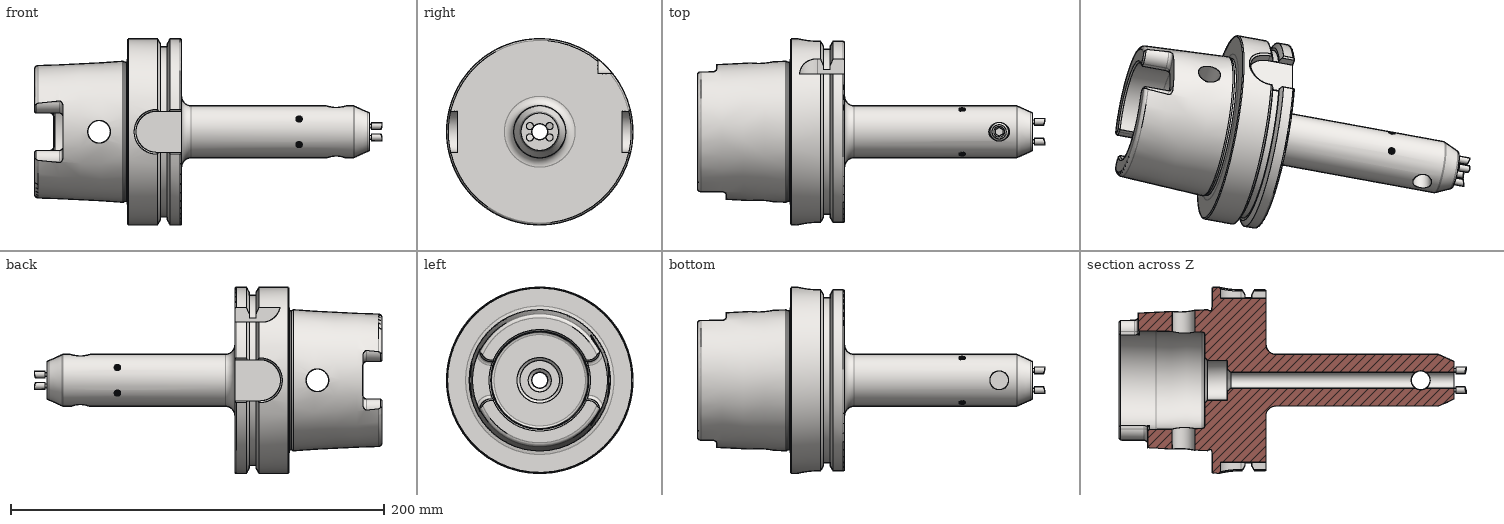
import cadquery as cq
import math


flange_start = 50.0
shank_taper = 0.05
relief_start = 47.5
shank_end_radius = 37.9
shank_mouth_radius = shank_end_radius - shank_taper * relief_start
mouth_rounding = 2.0
relief_radius = 37.4
relief_flat_start = 48.5
relief_flat_end = 49.5
relief_corner_radius = 39.8

bore_radius = 26.3
bore_lip_length = 20.0
cavity_floor_radius = 25.8
cavity_depth = 46.0
cavity_corner_radius = 1.3
mouth_chamfer = 0.9
socket_radius = 12.2
socket_chamfer = 1.6
socket_depth = 12.0
coolant_lead_radius = 6.2
coolant_radius = 4.2
cross_hole_x = 34.7
cross_hole_radius = 6.0

keyway_half_width = 10.0
keyway_flat_y = 32.2
keyway_rounding = 6.0
keyway_floor_fillet = 2.0
keyway_depths = {-1: 15.4, 1: 10.3}

flange_radius = 50.0
flange_width = 29.0
flange_end = flange_start + flange_width
flange_front_chamfer = 0.6
flange_back_rounding = 1.0
groove_center_x = 69.4
groove_floor_radius = 45.7
groove_wall_radius = 47.1
groove_half_width = 1.75
groove_flank_angle = 30.0

slot_start = 54.5
slot_half_width = 11.0
slot_floor_y = 44.0
slot_chamfer = 1.0
notch_cutter_radius = 10.0
notch_corner = slot_floor_y * math.cos(math.radians(45))

neck_radius = 14.0
neck_fillet = 5.0
nose_cone_start = 171.0
nose_edge_end = 171.5
nose_edge_radius = 13.85
nose_cone_end = 178.7
nose_cone_radius = 10.6
nose_end = 179.7
nose_end_radius = 10.0

clamp_x = 161.8
clamp_radius = 5.0
clamp_hole_mouth_radius = 5.6
clamp_top = 12.6
clamp_bottom = 5.0
clamp_chamfer = 1.2
clamp_hex = 4.0
clamp_hex_sink_radius = 2.9

plug_x = 141.9
plug_radius = 1.75
plug_length = 4.0
plug_recess = 0.3
plug_chamfer = 0.4
plug_hex = 1.5
plug_hex_sink_radius = 1.0

nozzle_end = 186.44
nozzle_head_start = 180.7
nozzle_head_radius = 1.9
nozzle_stem_radius = 1.1
nozzle_stem_depth = 8.0
nozzle_circle_radius = 6.1
nozzle_end_slope = 15.0

radial_angles = [30, 150, 210, 330]


def cylinder_x(radius, start, end, y=0.0, z=0.0):
    """Cylinder along X between two stations."""
    return cq.Workplane("YZ", origin=(start, 0, 0)).center(y, z).circle(radius).extrude(end - start)


def revolved(profile):
    """Turn an (x, r) profile about the X axis."""
    return profile.close().revolve(360, (0, 0, 0), (1, 0, 0))


def turned_blank():
    half = math.sqrt(0.5)
    rounding_center = shank_mouth_radius - mouth_rounding
    fillet_center = neck_radius + neck_fillet
    return revolved(
        cq.Workplane("XY")
        .moveTo(0, 0)
        .lineTo(0, rounding_center)
        .threePointArc(
            (mouth_rounding * (1 - half), rounding_center + mouth_rounding * half),
            (mouth_rounding, shank_mouth_radius + shank_taper * mouth_rounding),
        )
        .lineTo(relief_start, shank_end_radius)
        .lineTo(relief_flat_start, relief_radius)
        .lineTo(relief_flat_end, relief_radius)
        .lineTo(flange_start, relief_corner_radius)
        .lineTo(flange_start, flange_radius - flange_front_chamfer)
        .lineTo(flange_start + flange_front_chamfer, flange_radius)
        .lineTo(flange_end, flange_radius)
        .lineTo(flange_end, fillet_center)
        .threePointArc(
            (flange_end + neck_fillet * (1 - half), fillet_center - neck_fillet * half),
            (flange_end + neck_fillet, neck_radius),
        )
        .lineTo(nose_cone_start, neck_radius)
        .lineTo(nose_edge_end, nose_edge_radius)
        .lineTo(nose_cone_end, nose_cone_radius)
        .lineTo(nose_end, nose_end_radius)
        .lineTo(nose_end, 0)
    )


def rim_slot(cutter_radius, center_z, floor_y):
    """Round-ended slot on the +Y side, open toward the neck."""
    length = flange_end - slot_start
    reach = flange_radius
    end_x = slot_start + cutter_radius
    plane = cq.Workplane("XZ", origin=(0, floor_y, 0))
    round_end = plane.center(end_x, center_z).circle(cutter_radius).extrude(-reach)
    straight = (
        plane.center(end_x, center_z - cutter_radius)
        .rect(length, 2 * cutter_radius, centered=False)
        .extrude(-reach)
    )
    beyond = cq.Workplane("XY").box(length, 4 * reach, 4 * reach).translate((flange_end + length / 2, 0, 0))
    return round_end.union(straight).cut(beyond)


def keyway_outline(growth):
    """Key slot on the +Y side, widened by rounded shoulders to a flat; growth moves every wall outward."""
    half_width = keyway_half_width + growth
    rounding = keyway_rounding - growth
    flat_y = keyway_flat_y - growth
    arc_start_y = flat_y - rounding
    shoulder_z = half_width + rounding
    mid_y = arc_start_y + rounding * math.sqrt(0.5)
    mid_z = shoulder_z - rounding * math.sqrt(0.5)
    outer = flange_radius
    return (
        cq.Workplane("YZ")
        .moveTo(0, half_width)
        .lineTo(arc_start_y, half_width)
        .threePointArc((mid_y, mid_z), (flat_y, shoulder_z))
        .lineTo(flat_y, outer)
        .lineTo(outer, outer)
        .lineTo(outer, -outer)
        .lineTo(flat_y, -outer)
        .lineTo(flat_y, -shoulder_z)
        .threePointArc((mid_y, -mid_z), (arc_start_y, -half_width))
        .lineTo(0, -half_width)
        .close()
    )


def keyway_cutter(depth):
    slot = keyway_outline(0).extrude(depth)
    floor_edges = slot.faces(">X").edges("not (<Y or >Y or <Z or >Z)")
    mouth_bevel = keyway_outline(mouth_chamfer).extrude(mouth_chamfer, taper=45)
    return floor_edges.fillet(keyway_floor_fillet).union(mouth_bevel)


def keyway_lip_chamfer(side, depth):
    """Bevel of the bore edge where it meets a keyway floor."""
    cone = cq.Workplane("XY").add(
        cq.Solid.makeCone(
            bore_radius + mouth_chamfer,
            bore_radius,
            mouth_chamfer,
            pnt=cq.Vector(depth, 0, 0),
            dir=cq.Vector(1, 0, 0),
        )
    )
    span = cq.Workplane("XY").box(4 * flange_start, flange_radius, 2 * keyway_half_width)
    return cone.intersect(span.translate((0, side * flange_radius / 2, 0)))


def grip_groove():
    flank = (flange_radius - groove_wall_radius) * math.tan(math.radians(groove_flank_angle))
    half_mouth = groove_half_width + flank
    return revolved(
        cq.Workplane("XY")
        .moveTo(groove_center_x - groove_half_width, groove_floor_radius)
        .lineTo(groove_center_x - groove_half_width, groove_wall_radius)
        .lineTo(groove_center_x - half_mouth, flange_radius)
        .lineTo(groove_center_x - half_mouth, flange_radius + 1)
        .lineTo(groove_center_x + half_mouth, flange_radius + 1)
        .lineTo(groove_center_x + half_mouth, flange_radius)
        .lineTo(groove_center_x + groove_half_width, groove_wall_radius)
        .lineTo(groove_center_x + groove_half_width, groove_floor_radius)
    )


def back_rounding():
    half = math.sqrt(0.5)
    r = flange_back_rounding
    return revolved(
        cq.Workplane("XY")
        .moveTo(flange_end - r, flange_radius)
        .threePointArc(
            (flange_end - r * (1 - half), flange_radius - r * (1 - half)),
            (flange_end, flange_radius - r),
        )
        .lineTo(flange_end, flange_radius)
    )


def shank_cavity():
    half = math.sqrt(0.5)
    c = cavity_corner_radius
    socket_end = cavity_depth + socket_depth
    lead = coolant_lead_radius - coolant_radius
    return revolved(
        cq.Workplane("XY")
        .moveTo(0, 0)
        .lineTo(0, bore_radius + mouth_chamfer)
        .lineTo(mouth_chamfer, bore_radius)
        .lineTo(bore_lip_length, bore_radius)
        .lineTo(cavity_depth - c, cavity_floor_radius)
        .threePointArc(
            (cavity_depth - c * (1 - half), cavity_floor_radius - c * (1 - half)),
            (cavity_depth, cavity_floor_radius - c),
        )
        .lineTo(cavity_depth, socket_radius)
        .lineTo(cavity_depth + socket_chamfer, socket_radius - socket_chamfer)
        .lineTo(socket_end, socket_radius - socket_chamfer)
        .lineTo(socket_end, coolant_lead_radius)
        .lineTo(socket_end + lead, coolant_radius)
        .lineTo(nose_end, coolant_radius)
        .lineTo(nose_end, 0)
    )


def clamp_hole():
    sink = clamp_hole_mouth_radius - clamp_radius
    plane = cq.Workplane("XY", origin=(clamp_x, 0, 0))
    thread = plane.circle(clamp_radius).extrude(2 * neck_radius, both=True)
    countersink = (
        cq.Workplane("XZ", origin=(clamp_x, 0, 0))
        .moveTo(0, neck_radius - sink)
        .lineTo(clamp_radius, neck_radius - sink)
        .lineTo(clamp_hole_mouth_radius, neck_radius)
        .lineTo(0, neck_radius)
        .close()
        .revolve(360, (0, 0, 0), (0, 1, 0))
    )
    return thread.union(countersink)


def place_plug(shape, angle):
    """Move a shape built along +Y at x = 0 to its place on the neck."""
    return shape.translate((plug_x, 0, 0)).rotate((0, 0, 0), (1, 0, 0), angle)


def nozzle_center(angle):
    a = math.radians(angle)
    return nozzle_circle_radius * math.cos(a), nozzle_circle_radius * math.sin(a)


def make_holder():
    body = turned_blank()

    main_slot = rim_slot(slot_half_width, 0, slot_floor_y)
    for turn in (0, 180):
        body = body.cut(main_slot.rotate((0, 0, 0), (1, 0, 0), turn))
    margin = 0.5
    for side in (-1, 1):
        rim = cq.selectors.BoxSelector(
            (slot_start - margin, side * (slot_floor_y + 3), -slot_half_width - margin),
            (flange_end - margin, side * (flange_radius + margin), slot_half_width + margin),
        )
        body = body.edges(rim).chamfer(slot_chamfer)
    notch = rim_slot(notch_cutter_radius, notch_corner + notch_cutter_radius, notch_corner)
    body = body.cut(notch).cut(grip_groove()).cut(back_rounding())

    body = body.cut(shank_cavity())
    for side, depth in keyway_depths.items():
        cutter = keyway_cutter(depth)
        if side < 0:
            cutter = cutter.rotate((0, 0, 0), (1, 0, 0), 180)
        body = body.cut(cutter)
    for side, depth in keyway_depths.items():
        body = body.cut(keyway_lip_chamfer(side, depth))
    body = body.cut(
        cq.Workplane("XZ").center(cross_hole_x, 0).circle(cross_hole_radius).extrude(flange_radius, both=True)
    )

    body = body.cut(clamp_hole())
    plug_seat = (
        cq.Workplane("XZ", origin=(0, neck_radius - plug_recess - plug_length, 0))
        .circle(plug_radius)
        .extrude(-2 * plug_length)
    )
    for angle in radial_angles:
        body = body.cut(place_plug(plug_seat, angle))
        y, z = nozzle_center(angle)
        body = body.cut(cylinder_x(nozzle_stem_radius, nose_end - nozzle_stem_depth, nose_end, y, z))
    return body


def set_screw(radius, length, chamfer, hex_size, sink_radius):
    """Screw along +Z with its top face at z = 0 and a hexagon socket."""
    corner_diameter = hex_size / math.cos(math.radians(30))
    blank = cq.Workplane("XY").circle(radius).extrude(-length).faces(">Z").chamfer(chamfer)
    socket = cq.Workplane("XY").polygon(6, corner_diameter).extrude(-length / 2).rotate((0, 0, 0), (0, 0, 1), 30)
    sink = cq.Workplane("XY").add(cq.Solid.makeCone(sink_radius, 0, sink_radius, dir=cq.Vector(0, 0, -1)))
    return blank.cut(socket).cut(sink)


def make_clamp_screw():
    screw = set_screw(clamp_radius, clamp_top - clamp_bottom, clamp_chamfer, clamp_hex, clamp_hex_sink_radius)
    return screw.translate((clamp_x, 0, clamp_top))


def make_plug(angle):
    screw = set_screw(plug_radius, plug_length, plug_chamfer, plug_hex, plug_hex_sink_radius)
    upright = screw.rotate((0, 0, 0), (1, 0, 0), -90).translate((0, neck_radius - plug_recess, 0))
    return place_plug(upright, angle)


def make_nozzle(angle):
    stem = cylinder_x(nozzle_stem_radius, nose_end - nozzle_stem_depth, nozzle_head_start, nozzle_circle_radius)
    drop = 2 * nozzle_head_radius * math.tan(math.radians(nozzle_end_slope))
    head = (
        cylinder_x(nozzle_head_radius, nozzle_head_start, nozzle_end, nozzle_circle_radius)
        .cut(
            cq.Workplane("XY", origin=(nozzle_end, nozzle_circle_radius + nozzle_head_radius, 0))
            .lineTo(0, -2 * nozzle_head_radius)
            .lineTo(-drop, -2 * nozzle_head_radius)
            .close()
            .extrude(2 * nozzle_head_radius, both=True)
        )
    )
    return stem.union(head).rotate((0, 0, 0), (1, 0, 0), angle)


holder = make_holder()
clamp_screw = make_clamp_screw()
plugs = [make_plug(angle) for angle in radial_angles]
nozzles = [make_nozzle(angle) for angle in radial_angles]

result = cq.Compound.makeCompound(
    [
        holder.val(),
        clamp_screw.val(),
        *[plug.val() for plug in plugs],
        *[nozzle.val() for nozzle in nozzles],
    ]
)